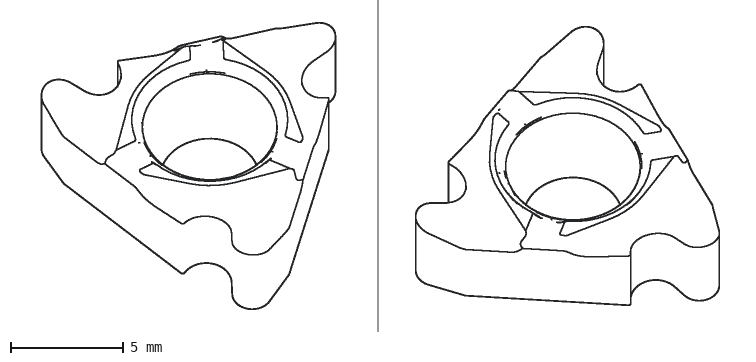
import cadquery as cq
import math

THIRD = 120
THIRDS = (0, THIRD, 2 * THIRD)

overall_length = 13.55
side_distance = 4.75
lobe_x = -3.41
lobe_radius = 0.9
lobe_centre_span = overall_length - 2 * lobe_radius
third_sin = math.sin(math.radians(THIRD))
third_cos = math.cos(math.radians(THIRD))
lobe_y = (lobe_centre_span + lobe_x * third_sin) / (1 - third_cos)
lobe_draft = 16
notch_radius = 1.12
notch_floor_y = 4.67
tip_radius = 0.11
next_side_direction = 180 - THIRD

top_z = 4.2
flat_z = 3.39
ledge_z = 3.71
seat_z = 3.74

prong_start = 4.69
prong_slope = 15
bend_reach = 0.05

boss_radius = 3.71
boss_slope = 50
boss_sector = 32
boss_direction = 90
boss_corner_half_angle = (THIRD - boss_sector) / 2
boss_blend_reach = 0.19

ledge_width = 0.12
ledge_wall_foot = 0.31
ledge_wall_foot_z = 3.83
ledge_wall_top = 0.49
ledge_half_length = 2.71

groove_half_width = 0.75
groove_wall_slope = 37
groove_blend_reach = 0.11
groove_start = 2.98
groove_rim_round = 0.14
groove_ledge_round = 0.14

bore_radius = 2.202
bore_height = 0.87
flare_radius = 2.25
flare_turn = 45
cup_radius = 3.0
lip_radius = 3.06
lip_height = 0.05
seat_radius = 3.15
seat_blend_radius = 3.32
seat_blend_z = 3.85
rim_radius = 3.47

tolerance = 0.001
beyond = 9.48


def turned(point, angle):
    """Turn a plan point about the hole axis."""
    a = math.radians(angle)
    x, y = point
    return (x * math.cos(a) - y * math.sin(a), x * math.sin(a) + y * math.cos(a))


def on_circle(centre, radius, angle):
    dx, dy = turned((radius, 0), angle)
    return (centre[0] + dx, centre[1] + dy)


def three_times(shape):
    """Join copies of a shape turned by each third of a circle."""
    copies = cq.Workplane("XY")
    for angle in THIRDS:
        copies = copies.union(shape.rotate((0, 0, 0), (0, 0, 1), angle))
    return copies


def third_of_outline():
    """Points of one prong: flank start, lobe arc, flank, notch arc, sharp tip."""
    draft = math.radians(lobe_draft)
    lobe = (lobe_x, lobe_y)
    lobe_left = on_circle(lobe, lobe_radius, 180 - lobe_draft)
    lobe_top = on_circle(lobe, lobe_radius, 90)
    lobe_right = on_circle(lobe, lobe_radius, lobe_draft)
    flank_drop = (lobe_left[0] + side_distance) / math.tan(draft)
    flank_start = (-side_distance, lobe_left[1] - flank_drop)

    notch_y = notch_floor_y + notch_radius
    notch_gap = notch_radius - (notch_y - lobe_right[1]) * math.sin(draft)
    notch = (lobe_right[0] + notch_gap / math.cos(draft), notch_y)
    notch_start = on_circle(notch, notch_radius, 180 + lobe_draft)
    notch_bottom = on_circle(notch, notch_radius, 270)

    depth = side_distance - turned(notch, -next_side_direction)[0]
    tip_angle = next_side_direction - math.degrees(math.acos(depth / notch_radius))
    tip = on_circle(notch, notch_radius, tip_angle)
    return flank_start, lobe_left, lobe_top, lobe_right, notch_start, notch_bottom, tip


def make_outline_prism():
    points = third_of_outline()
    tip = points[-1]
    plan = cq.Workplane("XY").moveTo(*points[0])
    for angle in THIRDS:
        start, left, top, right, notch, bottom, end = (turned(p, -angle) for p in points)
        if angle:
            plan = plan.lineTo(*start)
        plan = plan.lineTo(*left).threePointArc(top, right)
        plan = plan.lineTo(*notch).threePointArc(bottom, end)
    prism = plan.close().extrude(top_z)
    tip_edges = cq.Workplane("XY")
    for angle in THIRDS:
        x, y = turned(tip, angle)
        edge_middle = (x, y, top_z / 2)
        tip_edges = tip_edges.add(prism.edges(cq.selectors.NearestToPointSelector(edge_middle)))
    return prism.newObject(tip_edges.vals()).fillet(tip_radius)


def make_prong_top():
    """Ground that bends upward beyond the bend line of one prong."""
    slope = math.radians(prong_slope)
    blend_end = (prong_start + bend_reach * math.cos(slope), flat_z + bend_reach * math.sin(slope))
    far_z = flat_z + (beyond - prong_start) * math.tan(slope)
    return (
        cq.Workplane("YZ")
        .moveTo(prong_start - 2 * bend_reach, 0)
        .lineTo(prong_start - 2 * bend_reach, flat_z)
        .lineTo(prong_start - bend_reach, flat_z)
        .tangentArcPoint(blend_end, relative=False)
        .lineTo(beyond, far_z)
        .lineTo(beyond, 0)
        .close()
        .extrude(beyond, both=True)
    )


def boss_profile():
    """Half section of the boss with its blended foot."""
    slope = math.radians(boss_slope)
    corner = boss_radius + (top_z - flat_z) / math.tan(slope)
    blend_top_r = corner - boss_blend_reach * math.cos(slope)
    blend_top_z = flat_z + boss_blend_reach * math.sin(slope)
    return (
        cq.Workplane("XZ")
        .moveTo(0, flat_z)
        .lineTo(0, top_z)
        .lineTo(boss_radius, top_z)
        .lineTo(blend_top_r, blend_top_z)
        .tangentArcPoint((corner + boss_blend_reach, flat_z), relative=False)
        .close()
    )


def make_boss_third():
    """A round sector with a straight flank running on from each end."""
    flank_length = boss_radius * math.tan(math.radians(boss_corner_half_angle))
    sector = boss_profile().revolve(boss_sector, (0, 0), (0, 1))
    first_flank = boss_profile().extrude(flank_length)
    last_flank = boss_profile().extrude(-flank_length).rotate((0, 0, 0), (0, 0, 1), boss_sector)
    return sector.union(first_flank).union(last_flank).rotate((0, 0, 0), (0, 0, 1), boss_direction)


def make_ledge_cut():
    """Flat ledge with a blended, leaning back wall along the side facing -X."""
    return (
        cq.Workplane("XZ")
        .moveTo(-beyond, ledge_z)
        .lineTo(-side_distance + ledge_width, ledge_z)
        .tangentArcPoint((-side_distance + ledge_wall_foot, ledge_wall_foot_z), relative=False)
        .lineTo(-side_distance + ledge_wall_top, top_z)
        .lineTo(-beyond, top_z)
        .close()
        .extrude(ledge_half_length, both=True)
    )


def make_groove_cut():
    """Shallow V groove with blended floor, along a corner of the boss."""
    slope = math.radians(groove_wall_slope)
    corner = groove_half_width - (top_z - seat_z) / math.tan(slope)
    blend_out = corner + groove_blend_reach * math.cos(slope)
    blend_z = seat_z + groove_blend_reach * math.sin(slope)
    floor_half_width = corner - groove_blend_reach
    groove = (
        cq.Workplane("YZ")
        .workplane(offset=groove_start)
        .moveTo(floor_half_width, seat_z)
        .lineTo(-floor_half_width, seat_z)
        .tangentArcPoint((-blend_out, blend_z), relative=False)
        .lineTo(-groove_half_width, top_z)
        .lineTo(groove_half_width, top_z)
        .lineTo(blend_out, blend_z)
        .tangentArcPoint((floor_half_width, seat_z), relative=False)
        .close()
        .extrude(beyond)
    )
    corner_direction = boss_direction + boss_sector + boss_corner_half_angle
    return groove.rotate((0, 0, 0), (0, 0, 1), corner_direction)


def make_hole_cut():
    """Bore, flare, cylindrical cup, rounded lip, seat and conical rim."""
    turn = math.radians(flare_turn)
    flare_end_r = bore_radius + flare_radius * (1 - math.cos(turn))
    flare_end_z = bore_height + flare_radius * math.sin(turn)
    blend_radius = (cup_radius - flare_end_r) / (1 - math.cos(turn))
    cup_z = flare_end_z + blend_radius * math.sin(turn)
    return (
        cq.Workplane("XZ")
        .lineTo(bore_radius, 0)
        .lineTo(bore_radius, bore_height)
        .tangentArcPoint((flare_end_r, flare_end_z), relative=False)
        .tangentArcPoint((cup_radius, cup_z), relative=False)
        .lineTo(cup_radius, seat_z - lip_height)
        .tangentArcPoint((lip_radius, seat_z), relative=False)
        .lineTo(seat_radius, seat_z)
        .tangentArcPoint((seat_blend_radius, seat_blend_z), relative=False)
        .lineTo(rim_radius, top_z)
        .lineTo(0, top_z)
        .close()
        .revolve(360, (0, 0), (0, 1))
    )


def round_groove_ends(part, round_radius, nearest, farthest):
    """Round the wall edges that drop from the boss top within a range of distances to the hole axis."""
    edges = cq.Workplane("XY")
    for edge in part.edges().vals():
        low, high = sorted((edge.startPoint(), edge.endPoint()), key=lambda point: point.z)
        reaches_top = math.isclose(high.z, top_z, abs_tol=tolerance)
        is_wall_edge = flat_z < low.z < seat_blend_z + tolerance
        if reaches_top and is_wall_edge and nearest < math.hypot(high.x, high.y) < farthest:
            edges = edges.add(edge)
    return part.newObject(edges.vals()).fillet(round_radius)


ground = cq.Workplane("XY").circle(beyond).extrude(flat_z)
relief = ground.union(three_times(make_prong_top())).union(three_times(make_boss_third()))
body = make_outline_prism().intersect(relief)
body = body.cut(three_times(make_ledge_cut()))
body = body.cut(three_times(make_groove_cut()))
body = body.cut(make_hole_cut())
body = round_groove_ends(body, groove_rim_round, rim_radius - tolerance, rim_radius + tolerance)
ledge_wall_distance = side_distance - ledge_wall_top
groove_wall_distance = math.hypot(ledge_wall_distance, groove_half_width)
body = round_groove_ends(body, groove_ledge_round, ledge_wall_distance, groove_wall_distance)
result = body.solids()